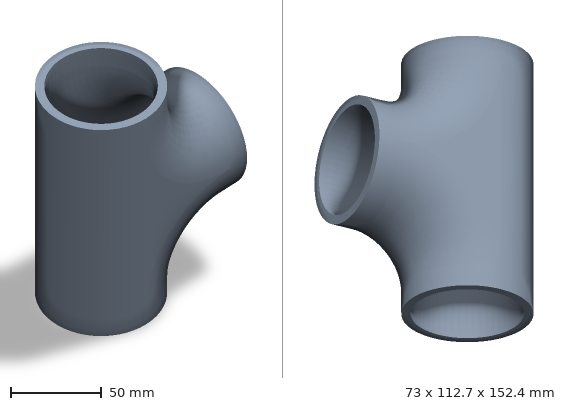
import cadquery as cq
import math

run_length = 152.4
branch_reach = run_length / 2
outer_diameter = 73.0
wall = 5.2
bend_radius = 63.0

outer_radius = outer_diameter / 2
bore_radius = outer_radius - wall


def run_cylinder(radius):
    return cq.Workplane("XY", origin=(0, 0, -run_length / 2)).circle(radius).extrude(run_length)


def branch_collar(radius):
    """Straight end of the branch, beyond the bends."""
    return (
        cq.Workplane("XZ", origin=(0, bend_radius, 0))
        .circle(radius)
        .extrude(bend_radius - branch_reach)
    )


def upper_bend(radius):
    """Throat-side half of a quarter elbow, from the run round to the branch."""
    return (
        cq.Workplane("XY", origin=(0, 0, bend_radius))
        .moveTo(-radius, 0)
        .threePointArc((0, radius), (radius, 0))
        .close()
        .revolve(90, (0, bend_radius, 0), (1, bend_radius, 0))
    )


def flat_web(radius):
    """Flat-sided core between the run axis and the two bend centrelines."""
    arc_middle = bend_radius * (1 - math.sqrt(0.5))
    return (
        cq.Workplane("YZ")
        .moveTo(0, -bend_radius)
        .lineTo(0, bend_radius)
        .threePointArc((arc_middle, arc_middle), (bend_radius, 0))
        .threePointArc((arc_middle, -arc_middle), (0, -bend_radius))
        .close()
        .extrude(radius, both=True)
    )


def tee_volume(radius):
    """Solid tee whose run and branch both have the given radius."""
    bend = upper_bend(radius)
    return (
        run_cylinder(radius)
        .union(flat_web(radius))
        .union(bend)
        .union(bend.mirror("XY"))
        .union(branch_collar(radius))
    )


result = tee_volume(outer_radius).cut(tee_volume(bore_radius))